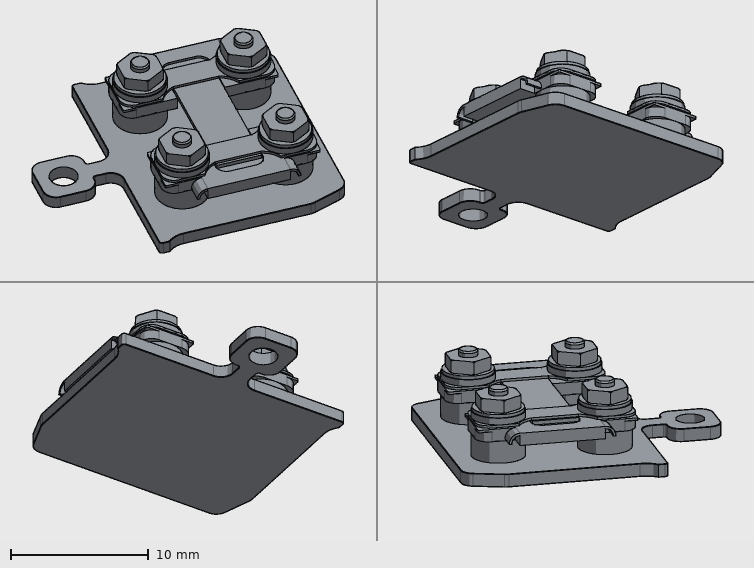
import cadquery as cq
import math


plate_width = 18.0
plate_length = 15.0
plate_thickness = 1.0
plate_edge_chamfer = 0.05
shoulder_run = 1.0
shoulder_drop = 3.0
shoulder_radius = 1.0
ear_span = 19.0
ear_arc_start = 2.0
ear_arc_end = 0.75
ear_radius = 0.25

neck_width = 1.5
tab_width = 4.2
tab_length = 4.0
tab_radius = 1.0
neck_root_radius = 1.0
neck_tab_radius = 0.2
tab_hole_diameter = 2.1
overall_length = 21.0

post_x = 4.5
post_y = 4.0
post_diameter = 4.0

post_top = 2.7
block_top = 3.46
flange_top = 3.65
strip_top = 3.75
link_top = 3.95
washer_top = 4.45
spring_washer_top = 4.7
nut_top = 5.71
screw_top = 6.17

pad_size = post_diameter
pad_radius = 1.0
flange_corner_radius = 0.1
arm_end_x = 7.81
arm_width = 6.38
lip_radius = 0.8
lip_thickness = flange_top - block_top
groove_width = 3.65
groove_radius = 0.85

strip_length = 11.38
strip_width = 3.49
link_waist = 1.97
waist_start = 1.05
waist_end = 2.23
waist_arc_mid = (1.35, 1.58)

spring_washer_diameter = 3.82
nut_across_flats = 3.0
nut_corner_chamfer = 0.08
screw_diameter = 1.4
screw_tip_height = 0.15
screw_tip_inset = 0.08

front_y = -plate_length / 2
rear_y = plate_length / 2
tab_end_y = rear_y - overall_length
tab_top_y = tab_end_y + tab_length
pad_inner_x = post_x - pad_size / 2
pad_outer_x = post_x + pad_size / 2
pad_outer_y = post_y + pad_size / 2


def box(x_min, x_max, y_min, y_max, z_min, z_max):
    block = cq.Workplane("XY").box(x_max - x_min, y_max - y_min, z_max - z_min, centered=False)
    return block.translate((x_min, y_min, z_min))


def disc(diameter, bottom, top):
    return cq.Workplane("XY").workplane(offset=bottom).circle(diameter / 2).extrude(top - bottom)


def fillet_upright_edges(body, points, radius):
    """Round the vertical edges nearest to the given (x, y) points and their mirror images across X = 0."""
    for x, y in points:
        for side in (-1, 1):
            nearest = cq.selectors.NearestToPointSelector((side * x, y, plate_thickness / 2))
            body = body.edges(nearest).fillet(radius)
    return body


def make_plate():
    half = plate_width / 2
    ear_x = ear_span / 2
    arc_start_y = front_y + ear_arc_start
    arc_end_y = front_y + ear_arc_end
    shoulder_x = half - shoulder_run
    shoulder_y = rear_y - shoulder_drop
    right_half = (
        cq.Workplane("XY")
        .moveTo(0, rear_y)
        .lineTo(shoulder_x, rear_y)
        .lineTo(half, shoulder_y)
        .lineTo(half, arc_start_y)
        .tangentArcPoint((ear_x, arc_end_y), relative=False)
        .lineTo(ear_x, front_y)
        .lineTo(neck_width / 2, front_y)
        .lineTo(neck_width / 2, tab_top_y)
        .lineTo(tab_width / 2, tab_top_y)
        .lineTo(tab_width / 2, tab_end_y)
        .lineTo(0, tab_end_y)
        .close()
        .extrude(plate_thickness)
    )
    body = right_half.union(right_half.mirror("YZ")).clean()
    body = fillet_upright_edges(body, [(shoulder_x, rear_y), (half, shoulder_y)], shoulder_radius)
    body = fillet_upright_edges(body, [(ear_x, front_y)], ear_radius)
    body = fillet_upright_edges(body, [(neck_width / 2, front_y)], neck_root_radius)
    body = fillet_upright_edges(body, [(neck_width / 2, tab_top_y)], neck_tab_radius)
    body = fillet_upright_edges(body, [(tab_width / 2, tab_top_y), (tab_width / 2, tab_end_y)], tab_radius)
    body = body.faces("<Z or >Z").edges().chamfer(plate_edge_chamfer)
    hole = disc(tab_hole_diameter, 0, plate_thickness).translate((0, tab_end_y + tab_length / 2, 0))
    return body.cut(hole)


def make_lip():
    """Quarter ring that curls down from the +Y side of the arm."""
    centre_y = arm_width / 2
    centre_z = flange_top - lip_radius
    inner_radius = lip_radius - lip_thickness
    diagonal = math.sqrt(0.5)
    return (
        cq.Workplane("YZ")
        .workplane(offset=pad_outer_x)
        .moveTo(centre_y, flange_top)
        .threePointArc(
            (centre_y + lip_radius * diagonal, centre_z + lip_radius * diagonal),
            (centre_y + lip_radius, centre_z),
        )
        .lineTo(centre_y + inner_radius, centre_z)
        .threePointArc(
            (centre_y + inner_radius * diagonal, centre_z + inner_radius * diagonal),
            (centre_y, block_top),
        )
        .close()
        .extrude(arm_end_x - pad_outer_x)
    )


def make_terminal_block():
    """Bar joining the two posts on the +X side, with a flange, an arm and a groove for the strip.

    Under the groove the bar is cut back from its inner face to the line of the post axes.
    """
    bar = box(pad_inner_x, pad_outer_x, -pad_outer_y, pad_outer_y, post_top, block_top)
    bar = bar.edges("|Z").fillet(pad_radius)
    flange = box(pad_inner_x, pad_outer_x, -pad_outer_y, pad_outer_y, block_top, flange_top)
    flange = flange.edges("|Z").fillet(flange_corner_radius)
    arm = box(post_x, arm_end_x, -arm_width / 2, arm_width / 2, post_top, flange_top)
    lip = make_lip()
    groove = box(0, pad_outer_x, -groove_width / 2, groove_width / 2, block_top, flange_top)
    groove = groove.edges("|Z and >X").fillet(groove_radius)
    relief = box(pad_inner_x, post_x, -groove_width / 2, groove_width / 2, post_top, block_top)
    body = bar.union(flange).union(arm).union(lip).union(lip.mirror("XZ"))
    return body.cut(groove).cut(relief)


def make_link():
    """Flat link lying across both posts on the +X side, narrowed to a waist between them."""
    waist_x = link_waist / 2
    mid_x, mid_y = waist_arc_mid
    half_link = (
        cq.Workplane("XY")
        .workplane(offset=strip_top)
        .moveTo(post_x - waist_x, 0)
        .lineTo(post_x + waist_x, 0)
        .lineTo(post_x + waist_x, post_y - waist_end)
        .threePointArc((post_x + mid_x, post_y - mid_y), (pad_outer_x, post_y - waist_start))
        .lineTo(pad_outer_x, pad_outer_y)
        .lineTo(pad_inner_x, pad_outer_y)
        .lineTo(pad_inner_x, post_y - waist_start)
        .threePointArc((post_x - mid_x, post_y - mid_y), (post_x - waist_x, post_y - waist_end))
        .close()
        .extrude(link_top - strip_top)
        .edges("|Z and >Y")
        .fillet(pad_radius)
    )
    return half_link.union(half_link.mirror("XZ"))


def make_nut():
    corner_diameter = nut_across_flats / math.cos(math.pi / 6)
    height = nut_top - spring_washer_top
    hexagon = cq.Workplane("XY").workplane(offset=spring_washer_top).polygon(6, corner_diameter).extrude(height)
    turned = disc(corner_diameter, spring_washer_top, nut_top).edges().chamfer(nut_corner_chamfer)
    return hexagon.intersect(turned)


def make_post():
    """Post with its washers, nut and screw, on the Z axis."""
    screw = disc(screw_diameter, plate_thickness, screw_top)
    screw = screw.faces(">Z").chamfer(screw_tip_height, screw_tip_inset)
    return (
        disc(post_diameter, plate_thickness, post_top)
        .union(screw)
        .union(disc(post_diameter, link_top, washer_top))
        .union(disc(spring_washer_diameter, washer_top, spring_washer_top))
        .union(make_nut())
    )


result = make_plate()
strip = box(-strip_length / 2, strip_length / 2, -strip_width / 2, strip_width / 2, block_top, strip_top)
result = result.union(strip)
terminal = make_terminal_block().union(make_link())
result = result.union(terminal).union(terminal.mirror("YZ"))
post = make_post()
for x in (-post_x, post_x):
    for y in (-post_y, post_y):
        result = result.union(post.translate((x, y, 0)))